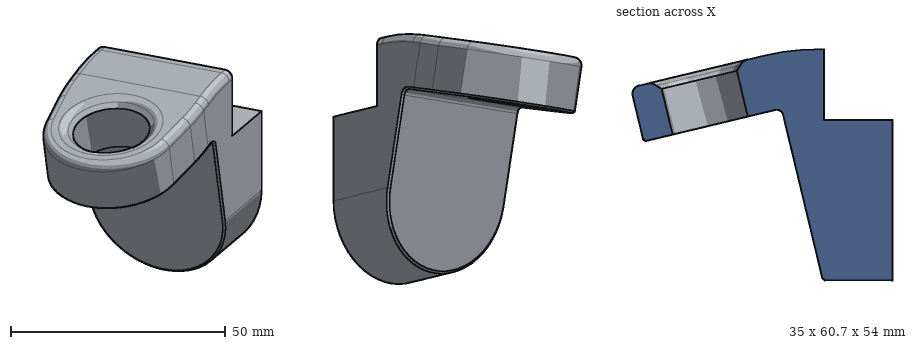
import cadquery as cq
import math

width = 35.0
half_width = width / 2
total_height = 54.0
step_height = 37.5
step_depth = 16.0
foot_depth = 16.3
crown_end_depth = 18.0

tilt_angle = 13.5
bend_radius = 50.0
bend_to_eye = 16.38
lug_thickness = 13.0
tip_radius = 16.0
taper_angle = 7.5
side_blend_radius = 50.0

eye_radius = 9.0
countersink_depth = 2.0
countersink_angle = 45.0
rim_radius = 3.0

top_fillet = 2.0
corner_fillet = 1.5
lower_chamfer = 0.5

clearance = 5.0

tilt = math.radians(tilt_angle)
taper = math.radians(taper_angle)
flare = math.radians(countersink_angle)
bend_end_depth = crown_end_depth + bend_radius * math.sin(tilt)
bend_end_height = total_height - bend_radius * (1 - math.cos(tilt))


def lug_point(along, below):
    """(y, z) of a point measured along the slope from the bend's end and down into the plate."""
    depth = bend_end_depth + along * math.cos(tilt) - below * math.sin(tilt)
    height = bend_end_height - along * math.sin(tilt) - below * math.cos(tilt)
    return -depth, height


def lug_along(depth, height):
    """Distance along the slope, from the bend's end, of a point given by its depth and height."""
    return (depth - bend_end_depth) * math.cos(tilt) + (bend_end_height - height) * math.sin(tilt)


face_along = lug_along(foot_depth, 0)
tip_along = bend_to_eye + tip_radius
eye_y, eye_z = lug_point(bend_to_eye, 0)

lug_plane = cq.Plane(
    origin=(0, eye_y, eye_z),
    xDir=(1, 0, 0),
    normal=(0, -math.sin(tilt), math.cos(tilt)),
)


def make_side_profile():
    """Block and lug as one section, swept across the full width."""
    bend_middle = (
        -crown_end_depth - bend_radius * math.sin(tilt / 2),
        total_height - bend_radius * (1 - math.cos(tilt / 2)),
    )
    solid = (
        cq.Workplane("YZ")
        .moveTo(0, 0)
        .lineTo(0, step_height)
        .lineTo(-step_depth, step_height)
        .lineTo(-step_depth, total_height)
        .lineTo(-crown_end_depth, total_height)
        .threePointArc(bend_middle, lug_point(0, 0))
        .lineTo(*lug_point(tip_along, 0))
        .lineTo(*lug_point(tip_along, lug_thickness))
        .lineTo(*lug_point(face_along, lug_thickness))
        .lineTo(-foot_depth, 0)
        .close()
        .extrude(half_width, both=True)
    )
    inside_y, inside_z = lug_point(face_along, lug_thickness)
    inside_corner = cq.selectors.NearestToPointSelector((0, inside_y, inside_z))
    return solid.edges(inside_corner).fillet(corner_fillet)


def make_block_outline():
    """U-shaped prism along Y that rounds the bottom of the block."""
    top = total_height + clearance
    length = bend_end_depth + tip_along + clearance
    return (
        cq.Workplane("XZ")
        .moveTo(-half_width, top)
        .lineTo(-half_width, half_width)
        .threePointArc((0, 0), (half_width, half_width))
        .lineTo(half_width, top)
        .close()
        .extrude(length)
    )


def make_lug_outline():
    """Prism square to the lug: straight sides, blend arcs, tapers and a round tip."""
    tip_x = tip_radius * math.cos(taper)
    tip_y = -tip_radius * math.sin(taper)
    blend_center_x = half_width - side_blend_radius
    blend_x = blend_center_x + side_blend_radius * math.cos(taper)
    blend_y = tip_y + (blend_x - tip_x) / math.tan(taper)
    straight_y = blend_y + side_blend_radius * math.sin(taper)
    middle_x = blend_center_x + side_blend_radius * math.cos(taper / 2)
    middle_y = straight_y - side_blend_radius * math.sin(taper / 2)
    back_y = bend_end_depth + bend_to_eye + total_height
    return (
        cq.Workplane(lug_plane)
        .moveTo(-half_width, back_y)
        .lineTo(-half_width, straight_y)
        .threePointArc((-middle_x, middle_y), (-blend_x, blend_y))
        .lineTo(-tip_x, tip_y)
        .threePointArc((0, -tip_radius), (tip_x, tip_y))
        .lineTo(blend_x, blend_y)
        .threePointArc((middle_x, middle_y), (half_width, straight_y))
        .lineTo(half_width, back_y)
        .close()
        .extrude(2 * total_height, both=True)
    )


def round_top_edge(solid):
    """Fillet the tangent chain of edges along the crown, the bend and the lug's top."""
    crown_middle = (half_width, -(step_depth + crown_end_depth) / 2, total_height)
    edge = solid.edges(cq.selectors.NearestToPointSelector(crown_middle))
    return edge.fillet(top_fillet)


def chamfer_lower_edge(solid):
    """Chamfer the tangent chain of edges around the block's front face and the lug's underside."""
    edge = solid.edges(cq.selectors.NearestToPointSelector((0, -foot_depth, 0)))
    return edge.chamfer(lower_chamfer)


def make_eye_cutter():
    """Through hole with a countersink whose rim is rounded into the lug's top."""
    mouth_radius = eye_radius + countersink_depth / math.tan(flare)
    half_turn = flare / 2
    tangent = rim_radius * math.tan(half_turn)
    rim_outer = mouth_radius + tangent
    rim_inner = mouth_radius - tangent * math.cos(flare)
    rim_depth = tangent * math.sin(flare)
    rim_middle = (
        rim_outer - rim_radius * math.sin(half_turn),
        -rim_radius * (1 - math.cos(half_turn)),
    )
    axis_plane = cq.Plane(origin=lug_plane.origin, xDir=(1, 0, 0), normal=-lug_plane.yDir)
    return (
        cq.Workplane(axis_plane)
        .moveTo(0, 0)
        .lineTo(rim_outer, 0)
        .threePointArc(rim_middle, (rim_inner, -rim_depth))
        .lineTo(eye_radius, -countersink_depth)
        .lineTo(eye_radius, -lug_thickness - clearance)
        .lineTo(0, -lug_thickness - clearance)
        .close()
        .revolve(360, (0, 0), (0, 1))
    )


body = make_side_profile().intersect(make_block_outline()).intersect(make_lug_outline())
body = round_top_edge(body)
body = chamfer_lower_edge(body)
result = body.cut(make_eye_cutter())